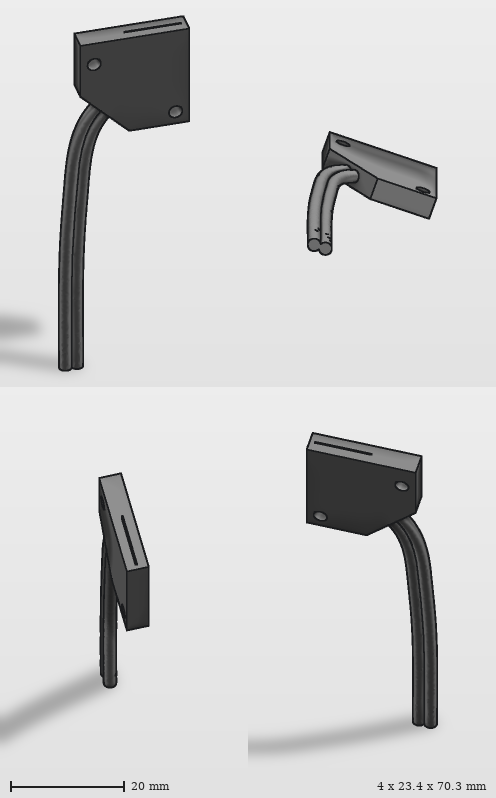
import cadquery as cq
import math

housing_thickness = 4.0
housing_side = 20.0
corner_cut = 9.0

hole_diameter = 2.45
hole_edge_distance = 2.5
upper_hole_drop = 4.5
hole_centers = [
    (hole_edge_distance, housing_side - upper_hole_drop),
    (housing_side - hole_edge_distance, hole_edge_distance),
]

slot_width = 0.27
slot_length = 10.4
slot_back_margin = 1.0
slot_depth = 0.7

overall_height = 70.25
core_diameter = 2.3
core_spacing = 2.1
cable_overhang = 3.4
cable_embed = 0.7
cable_end_y = (core_spacing + core_diameter) / 2 - cable_overhang
cable_end_z = housing_side - overall_height
cable_exit = corner_cut / 2
cable_bend_points = [(-0.85, -21.2), (-0.2, -11.7), (1.0, -2.25)]


def make_housing():
    outline = [
        (corner_cut, 0),
        (housing_side, 0),
        (housing_side, housing_side),
        (0, housing_side),
        (0, corner_cut),
    ]
    plate = cq.Workplane("YZ").polyline(outline).close().extrude(housing_thickness / 2, both=True)
    holes = (
        cq.Workplane("YZ")
        .pushPoints(hole_centers)
        .circle(hole_diameter / 2)
        .extrude(housing_thickness, both=True)
    )
    return plate.cut(holes)


def make_slot():
    slot_center_y = housing_side - slot_back_margin - slot_length / 2
    return (
        cq.Workplane("XY", origin=(0, slot_center_y, housing_side))
        .slot2D(slot_length, slot_width, 90)
        .extrude(-slot_depth)
    )


def make_cable():
    entry = cable_exit + cable_embed
    path_points = [(cable_end_y, cable_end_z), *cable_bend_points, (cable_exit, cable_exit), (entry, entry)]
    path = cq.Workplane("YZ").spline(path_points, tangents=[(0, 1), (1, 1)])

    radius = core_diameter / 2
    core_offset = core_spacing / 2
    waist = math.sqrt(radius**2 - core_offset**2)
    return (
        cq.Workplane("XY", origin=(0, cable_end_y, cable_end_z))
        .moveTo(waist, 0)
        .threePointArc((0, core_offset + radius), (-waist, 0))
        .threePointArc((0, -core_offset - radius), (waist, 0))
        .close()
        .sweep(path)
    )


result = make_housing().union(make_cable()).cut(make_slot())